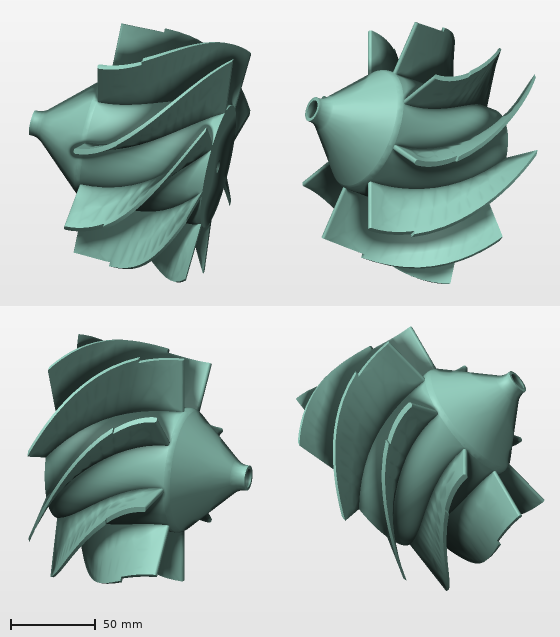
import cadquery as cq

overall_length = 114.2
rim_length = 1.5
nose_flare_end = 8.0
cone_end = 36.7
hub_start = 40.0
notch_x = 64.5

bore_radius = 8.0 / 2
counterbore_radius = 11.0 / 2
counterbore_depth = 5.8
nose_radius = 15.0 / 2
flare_radius = 10.1
cone_radius = 35.6
hub_radius = 74.0 / 2
blade_radius = 72.0
notch_radius = 69.5

blade_count = 8
blade_thickness = 3.3
leading_edge_fillet = 1.3
blade_length = overall_length - hub_start
total_twist = 69.5
twist_power = 1.9
section_count = 9
root_embed = 4.3
tip_allowance = 2.9


def make_hub():
    """Solid hub with its conical nose, with arcs at both ends of the cone."""
    return (
        cq.Workplane("XY")
        .moveTo(0, 0)
        .lineTo(0, nose_radius)
        .lineTo(rim_length, nose_radius)
        .tangentArcPoint((nose_flare_end, flare_radius), relative=False)
        .lineTo(cone_end, cone_radius)
        .tangentArcPoint((hub_start, hub_radius), relative=False)
        .lineTo(overall_length, hub_radius)
        .lineTo(overall_length, 0)
        .close()
        .revolve(360, (0, 0, 0), (1, 0, 0))
    )


def blade_section(fraction):
    """Radial strip across the axis, turned by the twist reached at this fraction of the blade."""
    inner = hub_radius - root_embed
    outer = blade_radius + tip_allowance
    twist = total_twist * fraction**twist_power
    strip = cq.Workplane("YZ").center(-(inner + outer) / 2, 0).rect(outer - inner, blade_thickness)
    turned = strip.wires().val().rotate(cq.Vector(0, 0, 0), cq.Vector(1, 0, 0), -twist)
    return turned.translate(cq.Vector(hub_start + fraction * blade_length, 0, 0))


def make_blade():
    """Blade that leaves the leading edge axially and twists faster towards the back."""
    sections = [blade_section(i / (section_count - 1)) for i in range(section_count)]
    blade = cq.Workplane(obj=cq.Solid.makeLoft(sections))
    return blade.faces("<X").edges(">Z or <Z").fillet(leading_edge_fillet)


def make_blade_envelope():
    """Tip limit of the blades: a cylinder stepped down ahead of the notch."""
    front = cq.Workplane("YZ", origin=(hub_start, 0, 0)).circle(notch_radius).extrude(notch_x - hub_start)
    back = cq.Workplane("YZ", origin=(notch_x, 0, 0)).circle(blade_radius).extrude(overall_length - notch_x)
    return front.union(back)


def make_bore():
    """Through bore with a counterbore at the nose tip."""
    bore = cq.Workplane("YZ").circle(bore_radius).extrude(overall_length)
    return bore.union(cq.Workplane("YZ").circle(counterbore_radius).extrude(counterbore_depth))


result = make_hub()
blade = make_blade().intersect(make_blade_envelope())
for i in range(blade_count):
    result = result.union(blade.rotate((0, 0, 0), (1, 0, 0), i * 360 / blade_count))
result = result.cut(make_bore())